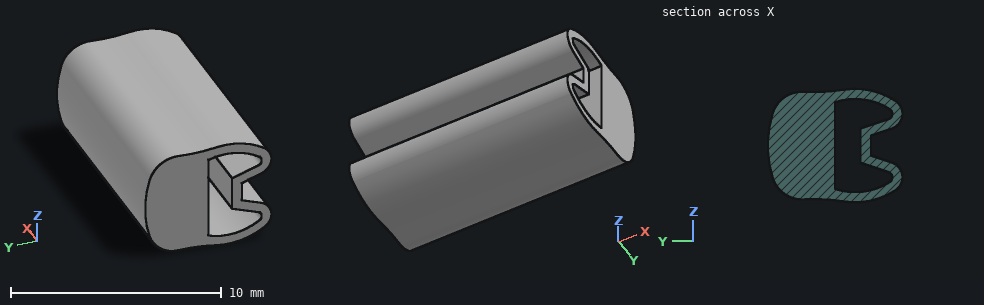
import cadquery as cq
import math


length = 12.0
depth = 6.4
height = 5.4
wall = 0.5

crown_radius = 5.2
shoulder_radius = 1.45
flank_radius = 9.0
cheek_radius = 3.5
lip_radius = 0.75

shoulder_height = 2.56
cheek_center_y = -0.95
cavity_floor_y = 0.0
web_outer_y = -1.7
lip_slope = math.atan(1 / 3)


def circles_meet(center_a, radius_a, center_b, radius_b):
    """Crossing point of two circles lying to the left of the direction from A to B."""
    dy = center_b[0] - center_a[0]
    dz = center_b[1] - center_a[1]
    distance = math.hypot(dy, dz)
    along = (radius_a**2 - radius_b**2 + distance**2) / (2 * distance)
    across = math.sqrt(radius_a**2 - along**2)
    y = center_a[0] + (along * dy - across * dz) / distance
    z = center_a[1] + (along * dz + across * dy) / distance
    return y, z


def direction(start, end):
    return math.atan2(end[1] - start[1], end[0] - start[0])


def on_circle(center, radius, angle):
    return center[0] + radius * math.cos(angle), center[1] + radius * math.sin(angle)


def arc(center, radius, start, end):
    """Edge from angle start to angle end on a circle."""
    points = [on_circle(center, radius, angle) for angle in (start, (start + end) / 2, end)]
    return cq.Edge.makeThreePointArc(*[cq.Vector(0, y, z) for y, z in points])


def line(start, end):
    return cq.Edge.makeLine(cq.Vector(0, *start), cq.Vector(0, *end))


def extrude_symmetric(upper_edges):
    """Close a half outline, given as edges that end on Z = 0, with its mirror image and extrude it."""
    lower_edges = [edge.mirror("XY") for edge in upper_edges]
    outline = cq.Wire.assembleEdges(upper_edges + lower_edges[::-1])
    solid = cq.Solid.extrudeLinear(outline, [], cq.Vector(length, 0, 0))
    return cq.Workplane(solid).translate((-length / 2, 0, 0))


crown_center = (depth / 2 - crown_radius, 0.0)
cheek_center = (cheek_center_y, height / 2 - cheek_radius)

shoulder_center_z = shoulder_height - shoulder_radius
shoulder_center_y = crown_center[0] + math.sqrt(
    (crown_radius - shoulder_radius) ** 2 - shoulder_center_z**2
)
shoulder_center = (shoulder_center_y, shoulder_center_z)

lip_center_y = lip_radius - depth / 2
lip_center_z = cheek_center[1] + math.sqrt(
    (cheek_radius - lip_radius) ** 2 - (lip_center_y - cheek_center_y) ** 2
)
lip_center = (lip_center_y, lip_center_z)

flank_center = circles_meet(
    cheek_center, cheek_radius + flank_radius, shoulder_center, shoulder_radius + flank_radius
)

crown_end = direction(crown_center, shoulder_center)
shoulder_end = direction(shoulder_center, flank_center)
cheek_start = direction(cheek_center, flank_center)
cheek_end = direction(cheek_center, lip_center)
lip_end = 1.5 * math.pi - lip_slope


def lip_underside(radius, web_y):
    """Straight lip underside, tangent to the lip arc, and half of the web face it runs into."""
    lip_foot = on_circle(lip_center, radius, lip_end)
    web_corner = (web_y, lip_foot[1] - (web_y - lip_foot[0]) * math.tan(lip_slope))
    return [line(lip_foot, web_corner), line(web_corner, (web_y, 0.0))]


def make_body():
    edges = [
        arc(crown_center, crown_radius, 0.0, crown_end),
        arc(shoulder_center, shoulder_radius, crown_end, shoulder_end),
        arc(flank_center, flank_radius, shoulder_end - math.pi, cheek_start - math.pi),
        arc(cheek_center, cheek_radius, cheek_start, cheek_end),
        arc(lip_center, lip_radius, cheek_end, lip_end),
    ]
    return extrude_symmetric(edges + lip_underside(lip_radius, web_outer_y))


def make_cavity():
    """Hollow of the bulb, one wall thickness inside the cheeks, lips and web."""
    inner_cheek_radius = cheek_radius - wall
    inner_lip_radius = lip_radius - wall
    floor_angle = math.acos((cavity_floor_y - cheek_center_y) / inner_cheek_radius)
    floor_corner = on_circle(cheek_center, inner_cheek_radius, floor_angle)
    edges = [
        line((cavity_floor_y, 0.0), floor_corner),
        arc(cheek_center, inner_cheek_radius, floor_angle, cheek_end),
        arc(lip_center, inner_lip_radius, cheek_end, lip_end),
    ]
    return extrude_symmetric(edges + lip_underside(inner_lip_radius, web_outer_y + wall))


result = make_body().cut(make_cavity())